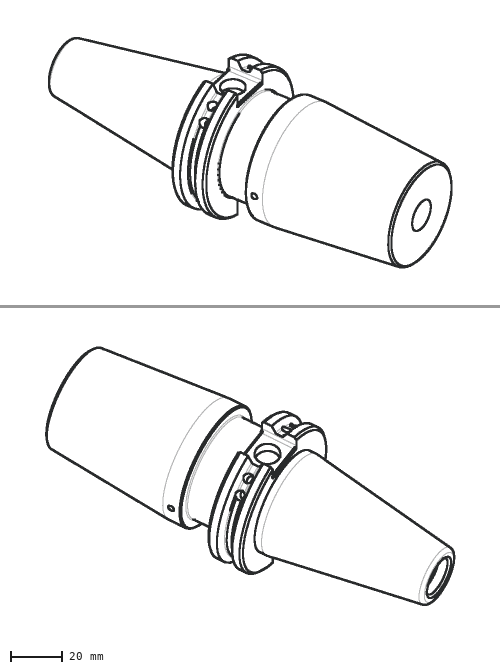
import cadquery as cq
import math


total_length = 168.2
gauge_x = 68.1
flange_start = gauge_x + 3.2
flange_width = 16.0
flange_end = flange_start + flange_width
groove_x = gauge_x + 11.1
sleeve_start = 102.8
sleeve_cone_start = 111.0

neck_radius = 22.2
flange_radius = 31.8
sleeve_radius = 26.5
bore_radius = 6.5
taper_slope = 7 / 48
taper_end_radius = neck_radius - taper_slope * gauge_x
sleeve_cone_angle = 4.5
nose_radius = sleeve_radius - (total_length - sleeve_cone_start) * math.tan(math.radians(sleeve_cone_angle))

flange_chamfer = 1.0
neck_fillet = 0.5
sleeve_chamfer = 0.5
nose_chamfer = 0.8
taper_end_fillet = 1.7

groove_depth = 3.4
groove_half_width = 3.5
groove_wall_angle = math.radians(30)
groove_fillet = 0.8
groove_floor_radius = flange_radius - groove_depth
groove_corner = groove_half_width - groove_depth * math.tan(groove_wall_angle)
groove_floor_half_width = groove_corner - groove_fillet * math.tan((math.pi / 2 - groove_wall_angle) / 2)
groove_blend_half_width = groove_floor_half_width + groove_fillet * math.cos(groove_wall_angle)
groove_blend_radius = groove_floor_radius + groove_fillet * (1 - math.sin(groove_wall_angle))

mouth_radius = 9.0
counterbore_radius = 7.9
mouth_chamfer = mouth_radius - counterbore_radius
counterbore_depth = 5.0
bore_cone_length = 1.7

slot_half_width = 8.7
upper_slot_floor = 24.7
lower_slot_floor = 22.4
upper_slot_fillet = 1.2
lower_slot_fillet = 0.5
slot_end_chamfer = 0.7

chip_hole_radius = 5.0
chip_hole_depth = 4.5
groove_hole_diameter = 3.9
groove_hole_depth = 5.0
groove_hole_angles = (-45, -30, 30, 45)
cross_hole_x = 107.2
cross_hole_radius = 1.3


def turned_body():
    """Outer profile revolved about X."""
    profile = (
        cq.Workplane("XZ")
        .moveTo(0, 0)
        .lineTo(0, taper_end_radius)
        .lineTo(gauge_x, neck_radius)
        .lineTo(flange_start, neck_radius)
        .lineTo(flange_start, flange_radius - flange_chamfer)
        .lineTo(flange_start + flange_chamfer, flange_radius)
        .lineTo(groove_x - groove_half_width, flange_radius)
        .lineTo(groove_x - groove_blend_half_width, groove_blend_radius)
        .radiusArc((groove_x - groove_floor_half_width, groove_floor_radius), -groove_fillet)
        .lineTo(groove_x + groove_floor_half_width, groove_floor_radius)
        .radiusArc((groove_x + groove_blend_half_width, groove_blend_radius), -groove_fillet)
        .lineTo(groove_x + groove_half_width, flange_radius)
        .lineTo(flange_end - flange_chamfer, flange_radius)
        .lineTo(flange_end, flange_radius - flange_chamfer)
        .lineTo(flange_end, neck_radius + neck_fillet)
        .radiusArc((flange_end + neck_fillet, neck_radius), -neck_fillet)
        .lineTo(sleeve_start - neck_fillet, neck_radius)
        .radiusArc((sleeve_start, neck_radius + neck_fillet), -neck_fillet)
        .lineTo(sleeve_start, sleeve_radius - sleeve_chamfer)
        .lineTo(sleeve_start + sleeve_chamfer, sleeve_radius)
        .lineTo(sleeve_cone_start, sleeve_radius)
        .lineTo(total_length, nose_radius)
        .lineTo(total_length, 0)
        .close()
    )
    body = profile.revolve(360, (0, 0, 0), (1, 0, 0))
    body = body.faces("<X").edges().fillet(taper_end_fillet)
    return body.faces(">X").edges().chamfer(nose_chamfer)


def bore():
    """Through bore with a chamfered counterbore at the taper end."""
    return (
        cq.Workplane("XZ")
        .moveTo(0, 0)
        .lineTo(0, mouth_radius)
        .lineTo(mouth_chamfer, counterbore_radius)
        .lineTo(counterbore_depth, counterbore_radius)
        .lineTo(counterbore_depth + bore_cone_length, bore_radius)
        .lineTo(total_length, bore_radius)
        .lineTo(total_length, 0)
        .close()
        .revolve(360, (0, 0, 0), (1, 0, 0))
    )


def drive_slot(floor, corner_fillet):
    """Slot across the flange, open at the top, with rounded floor corners."""
    height = flange_radius - floor
    return (
        cq.Workplane("XY", origin=(flange_start, 0, floor))
        .box(flange_width, 2 * slot_half_width, height, centered=(False, True, False))
        .edges("|X and <Z")
        .fillet(corner_fillet)
    )


def slot_end_bevel():
    """Wedges that bevel both ends of the upper slot floor."""
    low = upper_slot_floor - slot_end_chamfer
    wedge = (
        cq.Workplane("XZ", origin=(0, slot_half_width, 0))
        .moveTo(flange_start, low)
        .lineTo(flange_start + slot_end_chamfer, upper_slot_floor)
        .lineTo(flange_start, upper_slot_floor)
        .close()
        .extrude(2 * slot_half_width)
    )
    flange_middle = flange_start + flange_width / 2
    return wedge.union(wedge.mirror("YZ", (flange_middle, 0, 0)))


def chip_hole():
    """Blind round pocket in the upper slot floor."""
    return (
        cq.Workplane("XY", origin=(groove_x, 0, upper_slot_floor))
        .circle(chip_hole_radius)
        .extrude(-chip_hole_depth)
    )


def groove_hole(angle):
    """Blind radial hole in the groove, turned from +Z about the part axis."""
    return (
        cq.Workplane("XY", origin=(groove_x, 0, groove_floor_radius - groove_hole_depth))
        .circle(groove_hole_diameter / 2)
        .extrude(groove_hole_depth + groove_depth)
        .rotate((0, 0, 0), (1, 0, 0), angle)
    )


def cross_hole():
    """Small hole through both sides of the sleeve."""
    return (
        cq.Workplane("XZ", origin=(cross_hole_x, 0, 0))
        .circle(cross_hole_radius)
        .extrude(sleeve_radius, both=True)
    )


result = turned_body().cut(bore())
result = result.cut(drive_slot(upper_slot_floor, upper_slot_fillet))
result = result.cut(slot_end_bevel())
result = result.cut(drive_slot(lower_slot_floor, lower_slot_fillet).rotate((0, 0, 0), (1, 0, 0), 180))
result = result.cut(chip_hole())
for angle in groove_hole_angles:
    result = result.cut(groove_hole(angle))
result = result.cut(cross_hole())